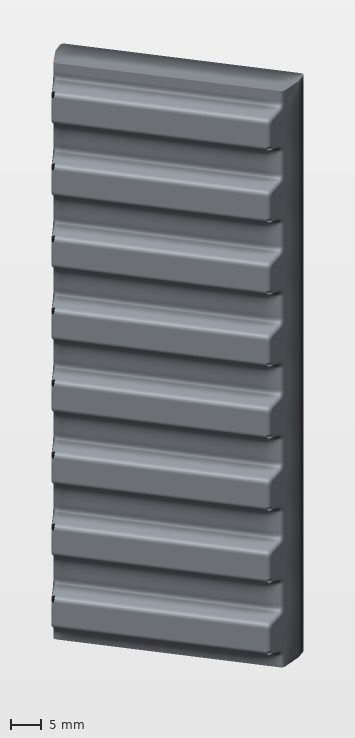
import cadquery as cq
import math

WIDTH = 41.274
LENGTH = 101.6
TOTAL_THICKNESS = 12.06
BASE_THICKNESS = 8.0

SIDE_BEND_DEPTH = 3.1
SIDE_TAPER = math.radians(13)
SIDE_BEND_RADIUS = 2.4
BACK_EDGE_RADIUS = 0.6

TOOTH_COUNT = 8
PITCH = LENGTH / TOOTH_COUNT
ROOT_FLAT = 3.9
FLANK_ANGLE = math.radians(13)
FLANK_RADIUS = 0.95
TOOTH_SIDE_RADIUS = 0.65

BACK_Y = TOTAL_THICKNESS / 2
ROOT_Y = BACK_Y - BASE_THICKNESS
TIP_Y = BACK_Y - TOTAL_THICKNESS
BEND_Y = BACK_Y - SIDE_BEND_DEPTH

PICK_MARGIN = 0.1


def tapered_bar():
    """Full-depth bar with tapered sides, running along Z."""
    half_width = WIDTH / 2
    tip_half_width = half_width - (BEND_Y - TIP_Y) * math.tan(SIDE_TAPER)
    outline = [
        (-half_width, BACK_Y),
        (-half_width, BEND_Y),
        (-tip_half_width, TIP_Y),
        (tip_half_width, TIP_Y),
        (half_width, BEND_Y),
        (half_width, BACK_Y),
    ]
    bar = cq.Workplane("XY").polyline(outline).close().extrude(LENGTH / 2, both=True)
    bend_edges = cq.selectors.BoxSelector(
        (-WIDTH, BEND_Y - PICK_MARGIN, -LENGTH), (WIDTH, BEND_Y + PICK_MARGIN, LENGTH)
    )
    bar = bar.edges("|Z").edges(bend_edges).fillet(SIDE_BEND_RADIUS)
    return bar.edges("|Z and >Y").fillet(BACK_EDGE_RADIUS)


def tooth_gap(center_z):
    """Cutter for one gap between teeth, with rounded root and tip corners."""
    arc_rise = FLANK_RADIUS * (1 - math.sin(FLANK_ANGLE))
    arc_run = FLANK_RADIUS * math.cos(FLANK_ANGLE)
    mid_angle = (math.pi / 2 + FLANK_ANGLE) / 2
    mid_rise = FLANK_RADIUS * (1 - math.sin(mid_angle))
    mid_run = FLANK_RADIUS * math.cos(mid_angle)
    flank_run = (ROOT_Y - TIP_Y - 2 * arc_rise) * math.tan(FLANK_ANGLE)

    root_z = ROOT_FLAT / 2
    flank_start_z = root_z + arc_run
    flank_end_z = flank_start_z + flank_run
    tip_z = flank_end_z + arc_run

    gap = (
        cq.Workplane("YZ")
        .moveTo(ROOT_Y, -root_z)
        .lineTo(ROOT_Y, root_z)
        .threePointArc((ROOT_Y - mid_rise, root_z + mid_run), (ROOT_Y - arc_rise, flank_start_z))
        .lineTo(TIP_Y + arc_rise, flank_end_z)
        .threePointArc((TIP_Y + mid_rise, tip_z - mid_run), (TIP_Y, tip_z))
        .lineTo(TIP_Y, -tip_z)
        .threePointArc((TIP_Y + mid_rise, mid_run - tip_z), (TIP_Y + arc_rise, -flank_end_z))
        .lineTo(ROOT_Y - arc_rise, -flank_start_z)
        .threePointArc((ROOT_Y - mid_rise, -root_z - mid_run), (ROOT_Y, -root_z))
        .close()
        .extrude(WIDTH / 2, both=True)
    )
    return gap.translate((0, 0, center_z))


def cut_teeth(bar):
    """Cut a gap at every pitch; the first and last gaps are halved by the bar ends."""
    for index in range(TOOTH_COUNT + 1):
        bar = bar.cut(tooth_gap(index * PITCH - LENGTH / 2))
    return bar


def round_tooth_sides(rack):
    """Round the edges where the tooth outline meets the tapered sides."""
    front_region = cq.selectors.BoxSelector(
        (-WIDTH, TIP_Y - PICK_MARGIN, -LENGTH), (WIDTH, ROOT_Y + PICK_MARGIN, LENGTH)
    )
    side_edges = rack.edges(front_region).edges("not |X")
    return side_edges.fillet(TOOTH_SIDE_RADIUS)


result = round_tooth_sides(cut_teeth(tapered_bar()))